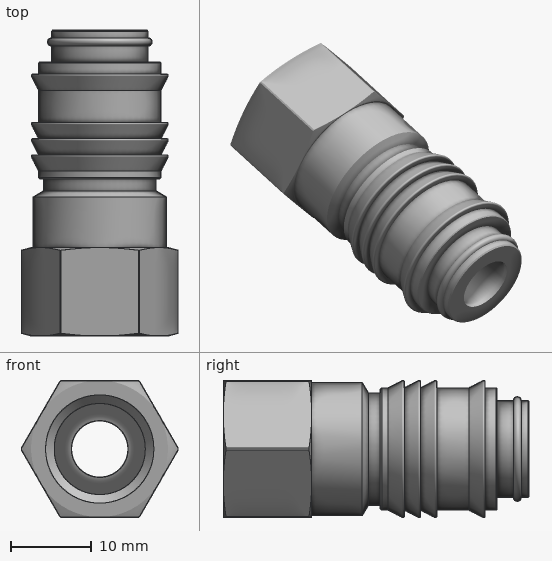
import cadquery as cq
import math

length = 38.0

hex_flats = 17.0
hex_corner_diameter = 19.5
hex_length = 11.0
hex_chamfer_angle = 15.0

body_radius = 8.3
shoulder_start = 17.25
neck_start = 18.0
neck_radius = 7.0

collar_start = 19.5
collar_end = 34.0
collar_radius = 7.6
collar_inlet_chamfer = 0.2
collar_tip_chamfer = 0.1

barb_length = 2.0
barb_height = 1.03
barb_crest_fillet = 0.2
first_barb_start = 20.5
outer_barb_start = 30.5
adjacent_barbs = 3

tip_radius = 6.0
tip_chamfer = 0.15
ring_position = 36.5
ring_section_radius = 0.5

hole_radius = 3.5
socket_radius = 5.65
socket_depth = 12.0
countersink_radius = 6.73
countersink_depth = countersink_radius - socket_radius


def revolve_profile(points):
    """Revolve (radius, Y) points around the Y axis."""
    return cq.Workplane("XY").polyline(points).close().revolve(360, (0, 0, 0), (0, 1, 0))


def make_hexagon():
    """Hexagon with trimmed corners and a conical chamfer on both ends."""
    flat_radius = hex_flats / 2
    corner_radius = hex_corner_diameter / 2
    drop = (corner_radius - flat_radius) * math.tan(math.radians(hex_chamfer_angle))
    prism = (
        cq.Workplane("XZ")
        .polygon(6, hex_flats / math.cos(math.radians(30)))
        .extrude(-hex_length)
    )
    envelope = revolve_profile([
        (0, 0),
        (flat_radius, 0),
        (corner_radius, drop),
        (corner_radius, hex_length - drop),
        (flat_radius, hex_length),
        (0, hex_length),
    ])
    return prism.intersect(envelope)


def make_stem():
    """Body, neck, collar and tip, without barbs or ring."""
    return revolve_profile([
        (0, 0),
        (body_radius, 0),
        (body_radius, shoulder_start),
        (neck_radius, neck_start),
        (neck_radius, collar_start),
        (collar_radius - collar_inlet_chamfer, collar_start),
        (collar_radius, collar_start + collar_inlet_chamfer),
        (collar_radius, collar_end - collar_tip_chamfer),
        (collar_radius - collar_tip_chamfer, collar_end),
        (tip_radius, collar_end),
        (tip_radius, length - tip_chamfer),
        (tip_radius - tip_chamfer, length),
        (0, length),
    ])


def make_barb(start):
    """Cone widening towards the tip, with a rounded crest."""
    cone = revolve_profile([
        (0, start),
        (collar_radius, start),
        (collar_radius + barb_height, start + barb_length),
        (0, start + barb_length),
    ])
    return cone.faces(">Y").edges().fillet(barb_crest_fillet)


def make_ring():
    """Sealing ring half sunk into the tip."""
    return (
        cq.Workplane("XY")
        .center(tip_radius, ring_position)
        .circle(ring_section_radius)
        .revolve(360, (-tip_radius, 0, 0), (-tip_radius, 1, 0))
    )


def make_bore():
    """Through hole opening into a flat-bottomed socket with a countersunk mouth."""
    return revolve_profile([
        (0, 0),
        (countersink_radius, 0),
        (socket_radius, countersink_depth),
        (socket_radius, socket_depth),
        (hole_radius, socket_depth),
        (hole_radius, length),
        (0, length),
    ])


barb_starts = [first_barb_start + i * barb_length for i in range(adjacent_barbs)]
barb_starts.append(outer_barb_start)

result = make_stem().union(make_hexagon()).union(make_ring())
for barb_start in barb_starts:
    result = result.union(make_barb(barb_start))
result = result.cut(make_bore())